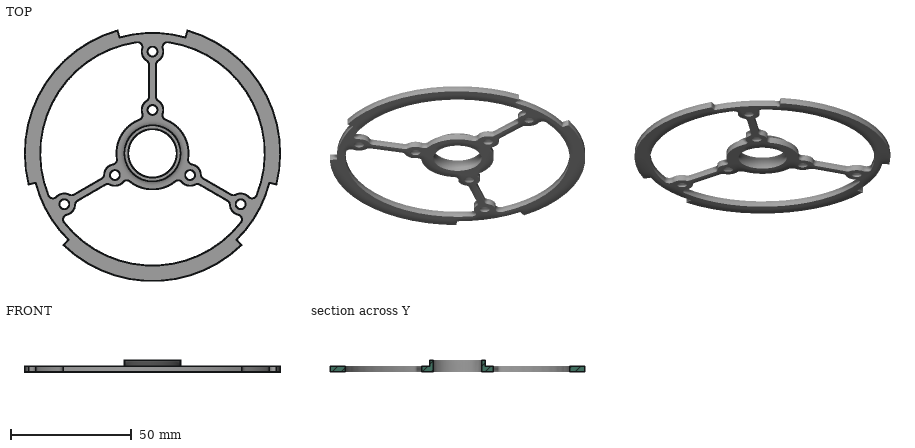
import cadquery as cq
import math

tab_radius = 53.0
rim_radius = 50.0
rim_inner_radius = 46.5
notch_half_angle = 15.85
plate_thickness = 2.5

hub_radius = 15.0
collar_radius = 11.65
bore_radius = 10.0
total_height = 5.0

spoke_count = 3
spoke_width = 3.0
boss_radius = 4.5
screw_hole_radius = 2.0
inner_boss_distance = 18.0
outer_boss_distance = 42.2
first_spoke_angle = 90.0

spoke_fillet = 2.0
hub_fillet = 2.0
rim_fillet = 2.0

spoke_angles = [first_spoke_angle + i * 360.0 / spoke_count for i in range(spoke_count)]
boss_distances = (inner_boss_distance, outer_boss_distance)


def disc(radius, height):
    return cq.Workplane("XY").circle(radius).extrude(height)


def turned(x, y, angle):
    """Turn a point given in a spoke lying along +X to the spoke's own angle."""
    a = math.radians(angle)
    return (x * math.cos(a) - y * math.sin(a), x * math.sin(a) + y * math.cos(a))


def make_rim():
    rim = disc(tab_radius, plate_thickness)
    reach = 2.0 * tab_radius
    for angle in spoke_angles:
        corners = [
            turned(reach, side * reach * math.tan(math.radians(notch_half_angle)), angle)
            for side in (-1, 1)
        ]
        sector = cq.Workplane("XY").polyline([(0, 0)] + corners).close().extrude(plate_thickness)
        rim = rim.cut(sector.cut(disc(rim_radius, plate_thickness)))
    return rim.cut(disc(rim_inner_radius, plate_thickness))


def make_spoke(angle):
    length = (rim_inner_radius + rim_radius) / 2.0
    spoke = cq.Workplane("XY").center(length / 2.0, 0).rect(length, spoke_width).extrude(plate_thickness)
    for distance in boss_distances:
        spoke = spoke.union(disc(boss_radius, plate_thickness).translate((distance, 0, 0)))
    return spoke.rotate((0, 0, 0), (0, 0, 1), angle)


def boss_meets_circle(distance, radius):
    """Corner where a boss outline crosses a circle about the part's axis."""
    x = (radius**2 - boss_radius**2 + distance**2) / (2.0 * distance)
    return x, math.sqrt(radius**2 - x**2)


def fillet_corners(plate, corner, fillet_radius):
    """Round one corner on both sides of every spoke."""
    for angle in spoke_angles:
        for side in (-1, 1):
            x, y = turned(corner[0], side * corner[1], angle)
            selector = cq.selectors.NearestToPointSelector((x, y, plate_thickness / 2.0))
            plate = plate.edges("|Z").edges(selector).fillet(fillet_radius)
    return plate


def add_rim_fillets(plate):
    """Fill the narrow wedges between outer bosses and rim, leaving tangent arcs."""
    centre_radius = rim_inner_radius - rim_fillet
    centre_to_boss = boss_radius + rim_fillet
    x = (centre_radius**2 - centre_to_boss**2 + outer_boss_distance**2) / (2.0 * outer_boss_distance)
    y = math.sqrt(centre_radius**2 - x**2)
    to_rim = rim_inner_radius / centre_radius
    rim_middle = (rim_inner_radius + rim_radius) / 2.0
    for angle in spoke_angles:
        for side in (-1, 1):
            boss_centre = turned(outer_boss_distance, 0, angle)
            arc_centre = turned(x, side * y, angle)
            rim_tangent = turned(x * to_rim, side * y * to_rim, angle)
            rim_anchor = turned(rim_middle, 0, angle)
            outline = [boss_centre, arc_centre, rim_tangent, rim_anchor]
            wedge = cq.Workplane("XY").polyline(outline).close().extrude(plate_thickness)
            relief = disc(rim_fillet, plate_thickness).translate((*arc_centre, 0))
            plate = plate.union(wedge.cut(relief))
    return plate


def make_plate():
    plate = make_rim().union(disc(hub_radius, plate_thickness))
    for angle in spoke_angles:
        plate = plate.union(make_spoke(angle))

    half_web = spoke_width / 2.0
    web_offset = math.sqrt(boss_radius**2 - half_web**2)
    plate = fillet_corners(plate, (inner_boss_distance + web_offset, half_web), spoke_fillet)
    plate = fillet_corners(plate, (outer_boss_distance - web_offset, half_web), spoke_fillet)
    plate = fillet_corners(plate, boss_meets_circle(inner_boss_distance, hub_radius), hub_fillet)
    return add_rim_fillets(plate)


def cut_screw_holes(plate):
    centres = [turned(distance, 0, angle) for angle in spoke_angles for distance in boss_distances]
    holes = cq.Workplane("XY").pushPoints(centres).circle(screw_hole_radius).extrude(plate_thickness)
    return plate.cut(holes)


plate = cut_screw_holes(make_plate())
result = plate.union(disc(collar_radius, total_height)).cut(disc(bore_radius, total_height))